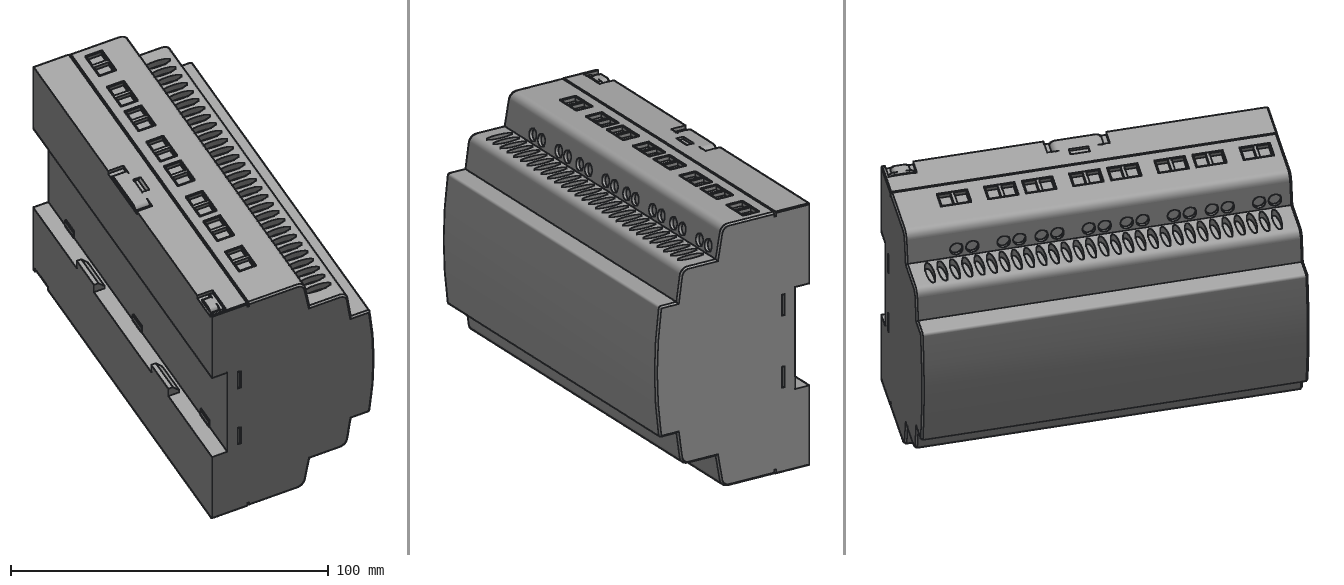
import cadquery as cq
import math

LENGTH = 125.0
DEPTH = 57.4
HEIGHT = 90.0
HALF_LENGTH = LENGTH / 2
TOP = HEIGHT / 2

MIDDLE_TOP = 33.8
FRONT_TOP = 22.5
FRONT_CORNER_Y = 55.8
FRONT_CORNER_RADIUS = 1.0
MIDDLE_WALL_Y = 49.2
MIDDLE_WALL_ANGLE = 8.0
MIDDLE_RADIUS = 3.0
OUTER_WALL_Y = 34.6
OUTER_WALL_ANGLE = 10.0
OUTER_RADIUS = 3.1

SEAM_Y = 12.8
SEAM_WIDTH = 0.6
SEAM_DEPTH = 1.5
COVER_CHAMFER = 0.6
REAR_CHAMFER = 0.4

RAIL_HALF_HEIGHT = 17.5
RAIL_DEPTH = 5.4
HOOK_X = 26.0
HOOK_WIDTH = 12.0
HOOK_HEIGHT = 3.2
HOOK_TIP = 1.6
HOOK_ROOT = 3.9
HOOK_HEEL_HEIGHT = 0.9
PAD_X = 47.2
PAD_WIDTH = 6.0
PAD_HEIGHT = 3.0
PAD_THICKNESS = 0.4
LATCH_WIDTH = 20.2
LATCH_DROP = 2.1
LATCH_FRONT_Y = 4.1
LATCH_BACK_Y = 0.9
LATCH_EAR_WIDTH = 1.2
LATCH_EAR_Y = 2.9

RECESS_DEPTH = 1.2
GRIP_FLAT_WIDTH = 12.8
GRIP_FULL_WIDTH = 16.9
GRIP_SETBACK = 0.4
WINDOW_WIDTH = 6.2
WINDOW_LENGTH = 2.5
WINDOW_SLOPE = 0.9
WINDOW_DEPTH = 0.9

CLIP_X = 56.8
CLIP_WIDTH = 9.1
CLIP_STEP_Y = 3.8
CLIP_SETBACK = 0.8
CLIP_HEAD_GAP = 0.5
CLIP_HEAD_FLAT = 5.0
CLIP_HEAD_WIDTH = 8.8
CLIP_NECK_FLAT = 2.9
CLIP_NECK_WIDTH = 6.1

END_SLOT_Y = 9.1
END_SLOT_WIDTH = 1.1
END_SLOT_SLOPE = 0.4
END_SLOT_DEPTH = 0.2
END_SLOT_Z = 12.4
END_SLOT_HEIGHT = 7.1

GROUP_COUNT = 4
GROUP_PITCH = 27.5
FIRST_PAIR_X = -54.2
PAIR_PITCH = 15.2
TERMINAL_PITCH = 5.1
TERMINAL_WIDTH = 4.0
TERMINAL_LENGTH = 5.2
TERMINAL_Y = 19.6
TERMINAL_DEPTH = 1.6
TERMINAL_LEDGE = 0.4
TERMINAL_LEDGE_DEPTH = 0.2
SCREW_DIAMETER = 4.1
SCREW_Z = 36.5
SCREW_DEPTH = 1.2

VENT_COUNT = 29
VENT_PITCH = 4.0
VENT_WIDTH = 2.6
VENT_LENGTH = 9.5
VENT_Y = 40.2
VENT_DEPTH = 2.5


def box(x0, x1, y0, y1, z0, z1):
    return cq.Workplane("XY").box(x1 - x0, y1 - y0, z1 - z0, centered=False).translate((x0, y0, z0))


def along_x(points, x_center, width):
    """Prism of a (Y, Z) polygon, centred on x_center."""
    prism = cq.Workplane("YZ").polyline(points).close().extrude(width / 2, both=True)
    return prism.translate((x_center, 0, 0))


def lean(height, angle):
    return height * math.tan(math.radians(angle))


def front_cover():
    outer_corner_y = OUTER_WALL_Y - lean(TOP - MIDDLE_TOP, OUTER_WALL_ANGLE)
    middle_corner_y = MIDDLE_WALL_Y - lean(MIDDLE_TOP - FRONT_TOP, MIDDLE_WALL_ANGLE)
    upper = [
        (SEAM_Y, TOP),
        (outer_corner_y, TOP),
        (OUTER_WALL_Y, MIDDLE_TOP),
        (middle_corner_y, MIDDLE_TOP),
        (MIDDLE_WALL_Y, FRONT_TOP),
        (FRONT_CORNER_Y, FRONT_TOP),
    ]
    lower = [(y, -z) for y, z in reversed(upper)]
    cover = (
        cq.Workplane("YZ")
        .polyline(upper)
        .threePointArc((DEPTH, 0), lower[0])
        .polyline(lower[1:], includeCurrent=True)
        .close()
        .extrude(HALF_LENGTH, both=True)
    )
    corners = (
        (outer_corner_y, TOP, OUTER_RADIUS),
        (middle_corner_y, MIDDLE_TOP, MIDDLE_RADIUS),
        (FRONT_CORNER_Y, FRONT_TOP, FRONT_CORNER_RADIUS),
    )
    for y, z, radius in corners:
        for side in (1, -1):
            corner = cq.selectors.NearestToPointSelector((0, y, side * z))
            cover = cover.edges("|X").edges(corner).fillet(radius)
    cover_end_edges = cover.faces("<X or >X").edges("not <Y")
    return cover_end_edges.chamfer(COVER_CHAMFER)


def rear_housing():
    rear = box(-HALF_LENGTH, HALF_LENGTH, 0, SEAM_Y, -TOP, TOP)
    rear = rear.edges("|Y").chamfer(REAR_CHAMFER)
    channel = box(-HALF_LENGTH, HALF_LENGTH, 0, RAIL_DEPTH, -RAIL_HALF_HEIGHT, RAIL_HALF_HEIGHT)
    return rear.cut(channel)


def seam_grooves():
    y0 = SEAM_Y - SEAM_WIDTH / 2
    y1 = SEAM_Y + SEAM_WIDTH / 2
    groove = box(-HALF_LENGTH, HALF_LENGTH, y0, y1, TOP - SEAM_DEPTH, TOP)
    return groove.union(groove.mirror("XY"))


def rail_hook(x):
    floor = -RAIL_HALF_HEIGHT
    outline = [
        (0, floor),
        (0, floor + HOOK_HEIGHT),
        (HOOK_TIP, floor + HOOK_HEIGHT),
        (HOOK_ROOT, floor + HOOK_HEEL_HEIGHT),
        (HOOK_ROOT, floor),
    ]
    return along_x(outline, x, HOOK_WIDTH)


def rail_pad(x):
    floor = -RAIL_HALF_HEIGHT
    face_y = RAIL_DEPTH - PAD_THICKNESS
    outline = [
        (RAIL_DEPTH, floor),
        (face_y, floor + PAD_THICKNESS),
        (face_y, floor + PAD_HEIGHT - PAD_THICKNESS),
        (RAIL_DEPTH, floor + PAD_HEIGHT),
    ]
    return along_x(outline, x, PAD_WIDTH)


def rail_latch():
    """Wedge under the channel's upper side, with its two outer ears cut back."""
    outline = [
        (LATCH_BACK_Y, RAIL_HALF_HEIGHT),
        (LATCH_FRONT_Y, RAIL_HALF_HEIGHT - LATCH_DROP),
        (LATCH_FRONT_Y, RAIL_HALF_HEIGHT),
    ]
    latch = along_x(outline, 0, LATCH_WIDTH)
    bottom = RAIL_HALF_HEIGHT - LATCH_DROP
    half = LATCH_WIDTH / 2
    ear = box(half - LATCH_EAR_WIDTH, half, 0, LATCH_EAR_Y, bottom, RAIL_HALF_HEIGHT)
    return latch.cut(ear).cut(ear.mirror("YZ"))


def domed_tongue(flat_width, full_width, y0, y1):
    """Block filling a recess in the top, rounded down to the recess floor on its two sides."""
    flat = flat_width / 2
    half = full_width / 2
    run = half - flat
    radius = (run**2 + RECESS_DEPTH**2) / (2 * RECESS_DEPTH)
    middle_run = radius * math.sin(math.asin(run / radius) / 2)
    middle_z = TOP - radius + math.sqrt(radius**2 - middle_run**2)
    floor = TOP - RECESS_DEPTH
    return (
        cq.Workplane("XZ", origin=(0, y0, 0))
        .moveTo(-half, floor)
        .threePointArc((-flat - middle_run, middle_z), (-flat, TOP))
        .lineTo(flat, TOP)
        .threePointArc((flat + middle_run, middle_z), (half, floor))
        .close()
        .extrude(y0 - y1)
    )


def grip_recess():
    half = LATCH_WIDTH / 2
    recess = box(-half, half, 0, RAIL_DEPTH, TOP - RECESS_DEPTH, TOP)
    tongue = domed_tongue(GRIP_FLAT_WIDTH, GRIP_FULL_WIDTH, GRIP_SETBACK, RAIL_DEPTH)
    return recess.cut(tongue)


def grip_window():
    far_y = RAIL_DEPTH + WINDOW_LENGTH
    floor = TOP - WINDOW_DEPTH
    outline = [(RAIL_DEPTH, TOP), (RAIL_DEPTH, floor), (far_y - WINDOW_SLOPE, floor), (far_y, TOP)]
    return along_x(outline, 0, WINDOW_WIDTH)


def corner_clip_recesses():
    half = CLIP_WIDTH / 2
    recess = box(-half, half, 0, RAIL_DEPTH, TOP - RECESS_DEPTH, TOP)
    head = domed_tongue(CLIP_HEAD_FLAT, CLIP_HEAD_WIDTH, CLIP_STEP_Y, RAIL_DEPTH - CLIP_HEAD_GAP)
    neck = domed_tongue(CLIP_NECK_FLAT, CLIP_NECK_WIDTH, CLIP_SETBACK, CLIP_STEP_Y)
    upper = recess.cut(head).cut(neck).translate((CLIP_X, 0, 0))
    lower = upper.rotate((0, 0, 0), (0, 1, 0), 180)
    return upper.union(lower)


def end_slots():
    """Shallow slots in both end faces, with one sloping side toward the front."""
    far_y = END_SLOT_Y + END_SLOT_WIDTH
    floor = -HALF_LENGTH + END_SLOT_DEPTH
    outline = [
        (-HALF_LENGTH, END_SLOT_Y),
        (floor, END_SLOT_Y),
        (floor, far_y - END_SLOT_SLOPE),
        (-HALF_LENGTH, far_y),
    ]
    slot = cq.Workplane("XY").polyline(outline).close().extrude(END_SLOT_HEIGHT / 2, both=True)
    slots = slot.translate((0, 0, END_SLOT_Z)).union(slot.translate((0, 0, -END_SLOT_Z)))
    return slots.union(slots.mirror("YZ"))


def pair_positions():
    positions = []
    for group in range(GROUP_COUNT):
        group_x = FIRST_PAIR_X + group * GROUP_PITCH
        positions += [group_x, group_x + PAIR_PITCH]
    return positions


def terminal_positions():
    half_pitch = TERMINAL_PITCH / 2
    return [pair_x + offset for pair_x in pair_positions() for offset in (-half_pitch, half_pitch)]


def rectangles_in_top(x_positions, width, length, depth):
    return (
        cq.Workplane("XY", origin=(0, 0, TOP))
        .pushPoints([(x, TERMINAL_Y) for x in x_positions])
        .rect(width, length)
        .extrude(-depth)
    )


def terminal_pockets():
    """Wire openings in the top face, each pair sunk below a shared shallow ledge."""
    frame_width = TERMINAL_PITCH + TERMINAL_WIDTH + 2 * TERMINAL_LEDGE
    frame_length = TERMINAL_LENGTH + 2 * TERMINAL_LEDGE
    frames = rectangles_in_top(pair_positions(), frame_width, frame_length, TERMINAL_LEDGE_DEPTH)
    openings = rectangles_in_top(terminal_positions(), TERMINAL_WIDTH, TERMINAL_LENGTH, TERMINAL_DEPTH)
    return frames.union(openings)


def screw_holes():
    """Round holes square to the leaning wall above the middle terrace."""
    angle = math.radians(OUTER_WALL_ANGLE)
    wall_y = OUTER_WALL_Y - lean(SCREW_Z - MIDDLE_TOP, OUTER_WALL_ANGLE)
    wall = cq.Plane(
        origin=(0, wall_y, SCREW_Z),
        xDir=(1, 0, 0),
        normal=(0, math.cos(angle), math.sin(angle)),
    )
    return (
        cq.Workplane(wall)
        .pushPoints([(x, 0) for x in terminal_positions()])
        .circle(SCREW_DIAMETER / 2)
        .extrude(-SCREW_DEPTH)
    )


def vents():
    first_x = -VENT_PITCH * (VENT_COUNT - 1) / 2
    return (
        cq.Workplane("XY", origin=(0, 0, MIDDLE_TOP))
        .pushPoints([(first_x + i * VENT_PITCH, VENT_Y) for i in range(VENT_COUNT)])
        .ellipse(VENT_WIDTH / 2, VENT_LENGTH / 2)
        .extrude(-VENT_DEPTH)
    )


result = rear_housing().union(front_cover()).clean()
result = result.cut(seam_grooves())

for hook_x in (-HOOK_X, HOOK_X):
    result = result.union(rail_hook(hook_x))
for pad_x in (-PAD_X, 0, PAD_X):
    result = result.union(rail_pad(pad_x))
result = result.union(rail_latch())

result = result.cut(grip_recess())
result = result.cut(grip_window())
result = result.cut(corner_clip_recesses())
result = result.cut(end_slots())
result = result.cut(terminal_pockets())
result = result.cut(screw_holes())
result = result.cut(vents())